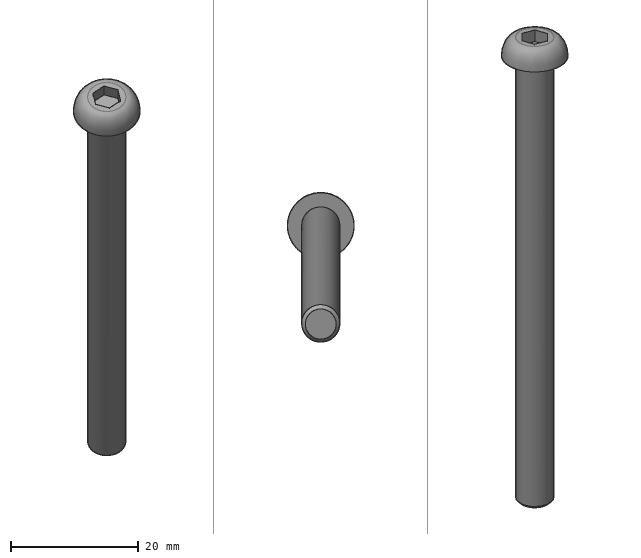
import cadquery as cq

total_length = 83.3
head_diameter = 10.5
head_height = 3.3
head_flat_diameter = 6.0
shank_diameter = 6.0
tip_chamfer = 0.6
socket_across_flats = 4.0
socket_depth = 2.1
socket_turn = 30

head_radius = head_diameter / 2
head_flat_radius = head_flat_diameter / 2
shank_length = total_length - head_height


def make_head():
    """Domed head: a quarter ellipse, upright at the rim and level where it meets the flat top."""
    dome_run = head_radius - head_flat_radius
    profile = (
        cq.Workplane("XZ")
        .lineTo(head_radius, 0)
        .ellipseArc(dome_run, head_height, 0, 90, startAtCurrent=True)
        .lineTo(0, head_height)
        .close()
    )
    return profile.revolve(360, (0, 0, 0), (0, 1, 0))


def make_shank():
    """Plain round shank with a chamfered tip."""
    shank = cq.Workplane("XY").circle(shank_diameter / 2).extrude(-shank_length)
    return shank.faces("<Z").chamfer(tip_chamfer)


def make_socket():
    """Hexagonal socket cutter with two corners on the X axis."""
    return (
        cq.Workplane("XY")
        .workplane(offset=head_height - socket_depth)
        .polygon(6, socket_across_flats, circumscribed=True)
        .extrude(socket_depth)
        .rotate((0, 0, 0), (0, 0, 1), socket_turn)
    )


result = make_head().union(make_shank()).cut(make_socket())